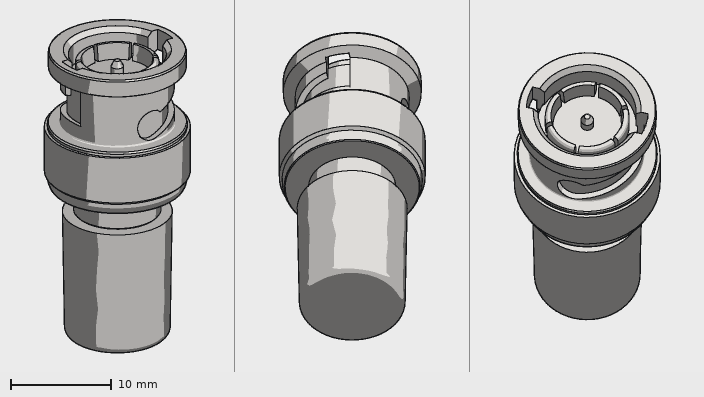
import cadquery as cq
import math

OVERALL_HEIGHT = 31.45

SLEEVE_TOP_Z = 13.52
SLEEVE_TOP_R = 5.5
SLEEVE_BOTTOM_R = 5.3
SLEEVE_FILLET = 0.7

SHAFT_R = 4.37
SHAFT_CHAMFER = 0.16

COLLAR_R = 7.3
SHOULDER_R = 7.0
COLLAR_BOTTOM_Z = 16.5
FOOT_R = 6.8
FOOT_CHAMFER = 0.1
FOOT_TAPER_Z = 16.92
FOOT_TAPER_R = 6.93
FOOT_EDGE_Z = 17.2
GRIP_BOTTOM_Z = 17.98
GRIP_TOP_Z = 22.97
COLLAR_TOP_Z = 23.45
SHOULDER_CHAMFER_WIDTH = 0.1
SHOULDER_CHAMFER_HEIGHT = 0.2

NECK_R = 5.7
NECK_FILLET = 0.2

HEAD_R = 6.9
HEAD_BOTTOM_Z = 29.6
HEAD_CONE_BOTTOM_Z = 29.02
HEAD_CHAMFER_WIDTH = 0.1
HEAD_CHAMFER_HEIGHT = 0.2

SOCKET_FLOOR_Z = 28.7
SOCKET_R = 4.9
SOCKET_CHAMFER = 0.5

CORE_R = 5.05
ENTRY_WIDTH = 2.44
ENTRY_OUTER_R = 6.1
CHANNEL_WIDTH = 2.4
CHANNEL_ANGLE = 14.5
KEYHOLE_R = 1.6
KEYHOLE_Z = 25.27

RING_TOP_Z = 30.45
RING_OUTER_R = 4.2
RING_FLOOR_INNER_R = 3.42
RING_MOUTH_INNER_R = 3.62
RING_FILLET = 0.4
RING_SLOT_WIDTH = 0.42
RING_SLOT_COUNT = 6

PIN_R = 0.63
PIN_TIP_R = 0.3
PIN_TOP_Z = 30.3
PIN_CONE_HEIGHT = 0.67


def cylinder(radius, bottom_z, top_z):
    return cq.Workplane("XY").workplane(offset=bottom_z).circle(radius).extrude(top_z - bottom_z)


def revolve_about_z(profile):
    return profile.close().revolve(360, (0, 0, 0), (0, 1, 0))


def corner_arc_drop(radius):
    """Distance from each side of a square corner to the midpoint of its fillet arc."""
    return radius * (1 - math.sqrt(0.5))


def make_cable_end():
    """Tapered crimp sleeve and the plain shaft above it."""
    arc_drop = corner_arc_drop(SLEEVE_FILLET)
    profile = (
        cq.Workplane("XZ")
        .moveTo(0, 0)
        .lineTo(SLEEVE_BOTTOM_R - SLEEVE_FILLET, 0)
        .threePointArc((SLEEVE_BOTTOM_R - arc_drop, arc_drop), (SLEEVE_BOTTOM_R, SLEEVE_FILLET))
        .lineTo(SLEEVE_TOP_R, SLEEVE_TOP_Z)
        .lineTo(SHAFT_R - SHAFT_CHAMFER, SLEEVE_TOP_Z)
        .lineTo(SHAFT_R, SLEEVE_TOP_Z + SHAFT_CHAMFER)
        .lineTo(SHAFT_R, COLLAR_BOTTOM_Z)
        .lineTo(0, COLLAR_BOTTOM_Z)
    )
    return revolve_about_z(profile)


def make_nut():
    """Coupling nut: stepped collar, neck with a concave base fillet, and head ring."""
    arc_drop = corner_arc_drop(NECK_FILLET)
    profile = (
        cq.Workplane("XZ")
        .moveTo(0, COLLAR_BOTTOM_Z)
        .lineTo(FOOT_R - FOOT_CHAMFER, COLLAR_BOTTOM_Z)
        .lineTo(FOOT_R, COLLAR_BOTTOM_Z + FOOT_CHAMFER)
        .lineTo(FOOT_TAPER_R, FOOT_TAPER_Z)
        .lineTo(SHOULDER_R, FOOT_EDGE_Z)
        .lineTo(SHOULDER_R, GRIP_BOTTOM_Z - (COLLAR_R - SHOULDER_R))
        .lineTo(COLLAR_R, GRIP_BOTTOM_Z)
        .lineTo(COLLAR_R, GRIP_TOP_Z)
        .lineTo(SHOULDER_R, GRIP_TOP_Z)
        .lineTo(SHOULDER_R, COLLAR_TOP_Z - SHOULDER_CHAMFER_HEIGHT)
        .lineTo(SHOULDER_R - SHOULDER_CHAMFER_WIDTH, COLLAR_TOP_Z)
        .lineTo(NECK_R + NECK_FILLET, COLLAR_TOP_Z)
        .threePointArc(
            (NECK_R + arc_drop, COLLAR_TOP_Z + arc_drop),
            (NECK_R, COLLAR_TOP_Z + NECK_FILLET),
        )
        .lineTo(NECK_R, HEAD_CONE_BOTTOM_Z)
        .lineTo(HEAD_R, HEAD_BOTTOM_Z)
        .lineTo(HEAD_R, OVERALL_HEIGHT - HEAD_CHAMFER_HEIGHT)
        .lineTo(HEAD_R - HEAD_CHAMFER_WIDTH, OVERALL_HEIGHT)
        .lineTo(0, OVERALL_HEIGHT)
    )
    return revolve_about_z(profile)


def make_socket_cutter():
    """Round socket with a chamfered mouth."""
    profile = (
        cq.Workplane("XZ")
        .moveTo(0, SOCKET_FLOOR_Z)
        .lineTo(SOCKET_R, SOCKET_FLOOR_Z)
        .lineTo(SOCKET_R, OVERALL_HEIGHT - SOCKET_CHAMFER)
        .lineTo(SOCKET_R + SOCKET_CHAMFER, OVERALL_HEIGHT)
        .lineTo(0, OVERALL_HEIGHT)
    )
    return revolve_about_z(profile)


def make_bayonet_cutter():
    """Entry slot at -Y, sloping channel, and round keyhole at -X, all cut down to the core."""
    angle = math.radians(CHANNEL_ANGLE)
    slope = math.tan(angle)
    channel_rise = CHANNEL_WIDTH / math.cos(angle)
    start_y = -KEYHOLE_R * math.sin(angle)
    start_z = KEYHOLE_Z - KEYHOLE_R * math.cos(angle)
    end_y = -HEAD_R
    end_z = start_z + (start_y - end_y) * slope

    reach = HEAD_R + ENTRY_WIDTH / 2
    side_plane = cq.Workplane("YZ").workplane(offset=-HEAD_R)
    keyhole = side_plane.center(0, KEYHOLE_Z).circle(KEYHOLE_R).extrude(reach)
    channel = (
        side_plane.moveTo(start_y, start_z)
        .lineTo(end_y, end_z)
        .lineTo(end_y, end_z + channel_rise)
        .lineTo(start_y, start_z + channel_rise)
        .close()
        .extrude(reach)
    )

    entry_z = start_z + (start_y + NECK_R) * slope + channel_rise / 2
    entry = (
        cq.Workplane("XY")
        .workplane(offset=entry_z)
        .center(0, -ENTRY_OUTER_R / 2)
        .rect(ENTRY_WIDTH, ENTRY_OUTER_R)
        .extrude(OVERALL_HEIGHT - entry_z)
        .intersect(cylinder(ENTRY_OUTER_R, entry_z, OVERALL_HEIGHT))
    )
    core = cylinder(CORE_R, COLLAR_BOTTOM_Z, SOCKET_FLOOR_Z)
    return keyhole.union(channel).union(entry).cut(core)


def make_contact_ring():
    """Ring of spring fingers with a rounded outer lip and an inner wall flaring upward."""
    arc_drop = corner_arc_drop(RING_FILLET)
    profile = (
        cq.Workplane("XZ")
        .moveTo(RING_FLOOR_INNER_R, SOCKET_FLOOR_Z)
        .lineTo(RING_OUTER_R, SOCKET_FLOOR_Z)
        .lineTo(RING_OUTER_R, RING_TOP_Z - RING_FILLET)
        .threePointArc(
            (RING_OUTER_R - arc_drop, RING_TOP_Z - arc_drop),
            (RING_OUTER_R - RING_FILLET, RING_TOP_Z),
        )
        .lineTo(RING_MOUTH_INNER_R, RING_TOP_Z)
    )
    ring = revolve_about_z(profile)
    for index in range(RING_SLOT_COUNT):
        slot = (
            cq.Workplane("XY")
            .workplane(offset=SOCKET_FLOOR_Z)
            .center(RING_OUTER_R / 2, 0)
            .rect(RING_OUTER_R, RING_SLOT_WIDTH)
            .extrude(RING_TOP_Z - SOCKET_FLOOR_Z)
            .rotate((0, 0, 0), (0, 0, 1), index * 360 / RING_SLOT_COUNT)
        )
        ring = ring.cut(slot)
    return ring


def make_pin():
    """Centre pin with a conical tip."""
    profile = (
        cq.Workplane("XZ")
        .moveTo(0, SLEEVE_TOP_Z)
        .lineTo(PIN_R, SLEEVE_TOP_Z)
        .lineTo(PIN_R, PIN_TOP_Z - PIN_CONE_HEIGHT)
        .lineTo(PIN_TIP_R, PIN_TOP_Z)
        .lineTo(0, PIN_TOP_Z)
    )
    return revolve_about_z(profile)


nut = make_nut().cut(make_socket_cutter())
bayonet_cutter = make_bayonet_cutter()
for turn in (0, 180):
    nut = nut.cut(bayonet_cutter.rotate((0, 0, 0), (0, 0, 1), turn))

result = nut.union(make_cable_end()).union(make_contact_ring()).union(make_pin())